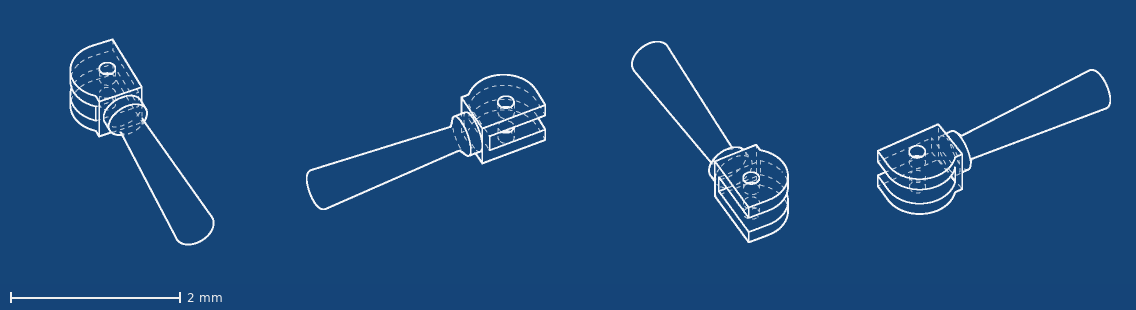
import cadquery as cq
import math

total_length = 2.94
fork_height = 0.62
fork_depth = 0.7

fork_length = 0.845
nose_radius = 0.425
slot_height = 0.25
slot_length = 0.747
web_depth = 0.555
notch_round = 0.024
tip_setback = 0.01
pin_x = 0.405
pin_diameter = 0.19

collar_radius = 0.25
axis_y = -collar_radius
collar_end = 0.995
neck_x = 1.07
neck_radius = 0.15
neck_round = 0.047
grip_radius = 0.247
tip_round = 0.053

nose_x = nose_radius
nose_y = nose_radius - fork_depth


def nose_point(angle):
    """Point on the nose circle at an angle in radians from +X."""
    return (nose_x + nose_radius * math.cos(angle), nose_y + nose_radius * math.sin(angle))


def make_fork():
    lean = math.atan2(tip_setback, -nose_y)
    arc_start = nose_point(math.pi - lean)
    arc_middle = nose_point(-math.pi / 2)
    arc_end = nose_point(math.asin((-web_depth - nose_y) / nose_radius))
    body = (
        cq.Workplane("XY")
        .workplane(offset=-fork_height / 2)
        .moveTo(tip_setback, 0)
        .lineTo(*arc_start)
        .threePointArc(arc_middle, arc_end)
        .lineTo(fork_length, -web_depth)
        .lineTo(fork_length, 0)
        .close()
        .extrude(fork_height)
    )
    notch_corner = cq.selectors.NearestToPointSelector((*arc_end, 0))
    body = body.edges("|Z").edges(notch_corner).fillet(notch_round)
    slot = cq.Workplane("XY").box(2 * slot_length, 2 * fork_depth, slot_height)
    pin_hole = (
        cq.Workplane("XY")
        .center(pin_x, axis_y)
        .circle(pin_diameter / 2)
        .extrude(fork_height, both=True)
    )
    return body.cut(slot).cut(pin_hole)


def make_handle():
    round_start = total_length - tip_round
    diagonal = tip_round * math.sqrt(0.5)
    round_middle = (round_start + diagonal, grip_radius - tip_round + diagonal)
    handle = (
        cq.Workplane("XY")
        .moveTo(fork_length, 0)
        .lineTo(fork_length, collar_radius)
        .lineTo(collar_end, collar_radius)
        .lineTo(neck_x, neck_radius)
        .lineTo(round_start, grip_radius)
        .threePointArc(round_middle, (total_length, grip_radius - tip_round))
        .lineTo(total_length, 0)
        .close()
        .revolve(360, (0, 0, 0), (1, 0, 0))
    )
    neck_edge = cq.selectors.NearestToPointSelector((neck_x, 0, 0))
    handle = handle.edges("%CIRCLE").edges(neck_edge).fillet(neck_round)
    return handle.translate((0, axis_y, 0))


result = make_fork().union(make_handle())